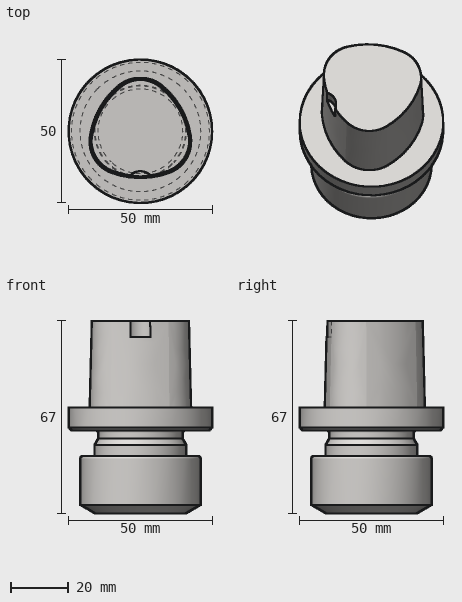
import cadquery as cq
import math

total_height = 67.0
nut_chamfer_height = 3.1
nut_top = 20.1
collar_top = 23.85
neck_bottom = 26.05
flange_bottom = 28.9
flange_top = 36.9

nut_radius = 42.0 / 2
nut_bottom_radius = 15.75
nut_fillet = 1.15
collar_radius = 32.0 / 2
neck_radius = 29.5 / 2
neck_fillet = 0.8
flange_radius = 50.0 / 2
flange_chamfer_width = 1.0
flange_chamfer_height = 1.15

lobe_reach = 18.6
flank_reach = 16.3
lobe_radius = 11.7
shank_taper = 1 / 40

notch_radius = 4.7
notch_inner_y = -13.9
notch_floor = 61.45


def polar(radius, angle):
    """Point at a radius and an angle in degrees from +X."""
    radians = math.radians(angle)
    return radius * math.cos(radians), radius * math.sin(radians)


def make_turned_body():
    """Revolve the nut, collar, neck and flange as one solid."""
    arc_inset = 1 - math.sqrt(0.5)
    return (
        cq.Workplane("XZ")
        .moveTo(0, 0)
        .lineTo(nut_bottom_radius, 0)
        .lineTo(nut_radius, nut_chamfer_height)
        .lineTo(nut_radius, nut_top - nut_fillet)
        .threePointArc(
            (nut_radius - arc_inset * nut_fillet, nut_top - arc_inset * nut_fillet),
            (nut_radius - nut_fillet, nut_top),
        )
        .lineTo(collar_radius, nut_top)
        .lineTo(collar_radius, collar_top)
        .lineTo(neck_radius, neck_bottom)
        .lineTo(neck_radius, flange_bottom - neck_fillet)
        .threePointArc(
            (neck_radius + arc_inset * neck_fillet, flange_bottom - arc_inset * neck_fillet),
            (neck_radius + neck_fillet, flange_bottom),
        )
        .lineTo(flange_radius - flange_chamfer_width, flange_bottom)
        .lineTo(flange_radius, flange_bottom + flange_chamfer_height)
        .lineTo(flange_radius, flange_top)
        .lineTo(0, flange_top)
        .close()
        .revolve(360, (0, 0, 0), (0, 1, 0))
    )


def draw_shank_outline(plane, inset):
    """Draw three lobe arcs joined by three tangent flank arcs, offset inward by the inset."""
    lobe_center = lobe_reach - lobe_radius
    reach_difference = flank_reach - lobe_radius
    flank_center = (lobe_center**2 - reach_difference**2) / (2 * reach_difference - lobe_center)
    flank_radius = flank_reach + flank_center

    center_x, center_y = polar(flank_center, 240)
    normal = math.atan2(-center_y, lobe_center - center_x)
    joint_x = center_x + (flank_radius - inset) * math.cos(normal)
    joint_y = center_y + (flank_radius - inset) * math.sin(normal)
    joint_distance = math.hypot(joint_x, joint_y)
    joint_angle = math.degrees(math.atan2(joint_y, joint_x))

    first_lobe = 90
    outline = plane.moveTo(*polar(joint_distance, first_lobe - joint_angle))
    for lobe in (first_lobe, first_lobe + 120, first_lobe + 240):
        outline = outline.threePointArc(
            polar(lobe_reach - inset, lobe),
            polar(joint_distance, lobe + joint_angle),
        ).threePointArc(
            polar(flank_reach - inset, lobe + 60),
            polar(joint_distance, lobe + 120 - joint_angle),
        )
    return outline.close()


def make_shank():
    """Loft the tapered shank from the flange to the top face."""
    shank_height = total_height - flange_top
    base = draw_shank_outline(cq.Workplane("XY", origin=(0, 0, flange_top)), 0)
    sections = draw_shank_outline(base.workplane(offset=shank_height), shank_taper * shank_height)
    return sections.loft(ruled=True)


def make_notch():
    """Vertical cylinder that cuts the notch."""
    return (
        cq.Workplane("XY", origin=(0, notch_inner_y - notch_radius, notch_floor))
        .circle(notch_radius)
        .extrude(total_height - notch_floor)
    )


result = make_turned_body().union(make_shank()).cut(make_notch())